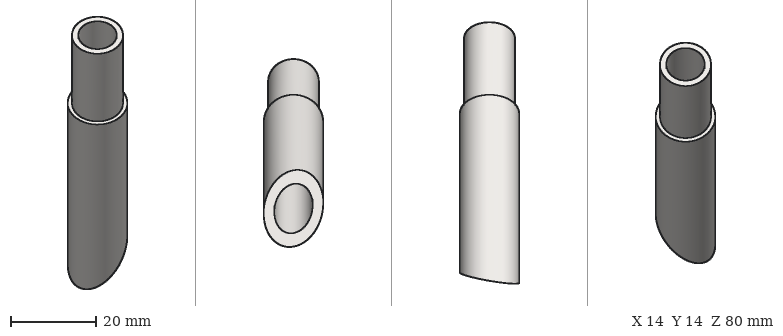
import cadquery as cq

body_diameter = 14.0
neck_diameter = 12.0
bore_diameter = 9.0
total_length = 80.0
neck_length = 23.0

body_length = total_length - neck_length
body_radius = body_diameter / 2
tip_rise = body_diameter


def stepped_tube():
    """Round body with a thinner neck on top and one bore through both."""
    body = cq.Workplane("XY").circle(body_radius).extrude(body_length)
    neck = (
        cq.Workplane("XY")
        .workplane(offset=body_length)
        .circle(neck_diameter / 2)
        .extrude(neck_length)
    )
    bore = cq.Workplane("XY").circle(bore_diameter / 2).extrude(total_length)
    return body.union(neck).cut(bore)


def tip_wedge():
    """Material below the slanted tip, which is lowest at -Y and highest at +Y."""
    return (
        cq.Workplane("YZ")
        .moveTo(-body_radius, 0)
        .lineTo(body_radius, 0)
        .lineTo(body_radius, tip_rise)
        .close()
        .extrude(body_radius, both=True)
    )


result = stepped_tube().cut(tip_wedge())